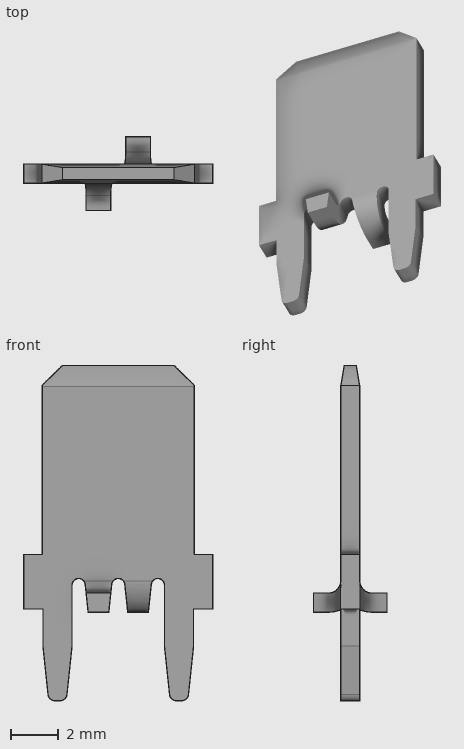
import cadquery as cq
import math


sheet_thickness = 0.81
overall_height = 14.02
blade_width = 6.37
shoulder_width = 7.92
shoulder_bottom = 3.83
shoulder_top = 6.12

tip_corner_width = 0.85
tip_corner_height = 0.83
tip_bevel_depth = 0.15
tip_bevel_height = 0.89

pin_pitch = 5.08
pin_width = 1.23
pin_taper_start = 2.30
pin_tip_radius = 0.30
taper_angle = math.radians(6)

overall_depth = 3.09
bend_radius = 0.50
notch_radius = 0.27
notch_top = 5.11
bend_start = 5.01

half_sheet = sheet_thickness / 2
half_depth = overall_depth / 2
half_pin = pin_width / 2
half_pin_tip = half_pin - pin_taper_start * math.tan(taper_angle)
outer_notch_x = pin_pitch / 2 - half_pin - notch_radius
bend_outer_radius = bend_radius + sheet_thickness
tab_top = bend_start - bend_radius
tab_bottom = bend_start - bend_outer_radius


def extrude_through(profile, depth):
    """Extrude an XZ profile symmetrically about the mid-plane of the sheet."""
    return profile.extrude(depth / 2, both=True)


def make_blade():
    """Blade with its cropped top corners, standing on the wider shoulder block."""
    half_blade = blade_width / 2
    half_tip = half_blade - tip_corner_width
    half_shoulder = shoulder_width / 2
    corner_z = overall_height - tip_corner_height
    profile = (
        cq.Workplane("XZ")
        .moveTo(-half_shoulder, shoulder_bottom)
        .lineTo(half_shoulder, shoulder_bottom)
        .lineTo(half_shoulder, shoulder_top)
        .lineTo(half_blade, shoulder_top)
        .lineTo(half_blade, corner_z)
        .lineTo(half_tip, overall_height)
        .lineTo(-half_tip, overall_height)
        .lineTo(-half_blade, corner_z)
        .lineTo(-half_blade, shoulder_top)
        .lineTo(-half_shoulder, shoulder_top)
        .close()
    )
    return extrude_through(profile, sheet_thickness)


def make_slot():
    """Opening between the outer notch centers, up to the line where the tabs start to bend."""
    profile = (
        cq.Workplane("XZ")
        .moveTo(-outer_notch_x, 0)
        .lineTo(outer_notch_x, 0)
        .lineTo(outer_notch_x, bend_start)
        .lineTo(-outer_notch_x, bend_start)
        .close()
    )
    return extrude_through(profile, sheet_thickness)


def make_pin(center_x):
    """Straight pin that tapers to a rounded tip."""
    profile = (
        cq.Workplane("XZ")
        .moveTo(center_x - half_pin_tip, 0)
        .lineTo(center_x + half_pin_tip, 0)
        .lineTo(center_x + half_pin, pin_taper_start)
        .lineTo(center_x + half_pin, shoulder_bottom)
        .lineTo(center_x - half_pin, shoulder_bottom)
        .lineTo(center_x - half_pin, pin_taper_start)
        .close()
    )
    pin = extrude_through(profile, sheet_thickness)
    return pin.faces("<Z").edges("|Y").fillet(pin_tip_radius)


def make_tip_bevel(side):
    """Wedge removed from one broad face (side = -1 or 1) at the blade tip."""
    return (
        cq.Workplane("YZ")
        .moveTo(side * half_sheet, overall_height - tip_bevel_height)
        .lineTo(side * half_sheet, overall_height)
        .lineTo(side * (half_sheet - tip_bevel_depth), overall_height)
        .close()
        .extrude(blade_width / 2, both=True)
    )


def make_tab(side):
    """Tab bent 90 degrees out of the sheet toward Y = side, from the blade center to the outer notch."""
    bend_center_y = half_sheet + bend_radius
    diagonal = math.sqrt(0.5)

    def bend_middle(radius):
        return (side * (bend_center_y - radius * diagonal), bend_start - radius * diagonal)

    return (
        cq.Workplane("YZ")
        .moveTo(side * half_sheet, bend_start)
        .threePointArc(bend_middle(bend_radius), (side * bend_center_y, tab_top))
        .lineTo(side * half_depth, tab_top)
        .lineTo(side * half_depth, tab_bottom)
        .lineTo(side * bend_center_y, tab_bottom)
        .threePointArc(bend_middle(bend_outer_radius), (-side * half_sheet, bend_start))
        .close()
        .extrude(side * outer_notch_x)
    )


def make_notch(center_x, left_flare, right_flare):
    """Round-topped relief whose sides lean outward, by the given angles, toward the bottom."""
    center_z = notch_top - notch_radius

    def side_points(direction, flare):
        tangent_x = center_x + direction * notch_radius * math.cos(flare)
        tangent_z = center_z + notch_radius * math.sin(flare)
        foot_x = tangent_x + direction * (tangent_z - tab_bottom) * math.tan(flare)
        return (tangent_x, tangent_z), (foot_x, tab_bottom)

    left_tangent, left_foot = side_points(-1, left_flare)
    right_tangent, right_foot = side_points(1, right_flare)
    profile = (
        cq.Workplane("XZ")
        .moveTo(*left_foot)
        .lineTo(*left_tangent)
        .threePointArc((center_x, notch_top), right_tangent)
        .lineTo(*right_foot)
        .close()
    )
    return extrude_through(profile, overall_depth)


result = make_blade().cut(make_slot())
for direction in (-1, 1):
    result = result.union(make_pin(direction * pin_pitch / 2))
    result = result.union(make_tab(direction))
    result = result.cut(make_tip_bevel(direction))

result = result.cut(make_notch(-outer_notch_x, 0, taper_angle))
result = result.cut(make_notch(0, taper_angle, taper_angle))
result = result.cut(make_notch(outer_notch_x, taper_angle, 0))